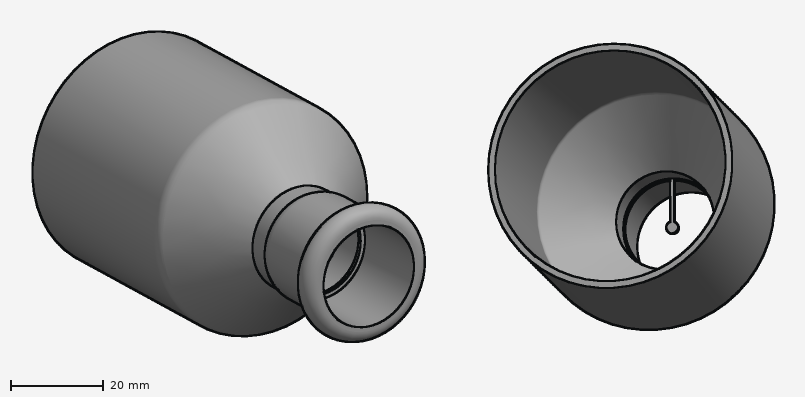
import cadquery as cq
import math

length = 94.9
large_diameter = 54.0
large_bore = 51.0
neck_diameter = 24.0
neck_bore = 21.6
socket_diameter = 25.3
socket_bore = 23.2
barrel_wall = (large_diameter - large_bore) / 2

barrel_end = 50.2
neck_end = 71.4
shoulder_end = 73.8
socket_end = 86.9

corner_radius = 2.8
cone_angle = math.radians(45)

bead_diameter = 31.5
bead_radius = 3.0

ring_bore = 21.0
disc_diameter = 2.7
stem_width = 0.9
insert_thickness = 0.95


def corner_point(barrel_radius, radius, angle):
    """Point on the barrel corner round, at an angle past the end of the barrel."""
    return (
        barrel_end + radius * math.sin(angle),
        barrel_radius - radius * (1 - math.cos(angle)),
    )


def cone_end(corner_end, radius):
    """Point where the cone meets the given neck radius."""
    return (corner_end[0] + (corner_end[1] - radius) / math.tan(cone_angle), radius)


def shoulder_middle():
    """Middle point of the shoulder arc, which runs tangent into the socket."""
    run = shoulder_end - neck_end
    rise = (socket_diameter - neck_diameter) / 2
    radius = (run**2 + rise**2) / (2 * rise)
    half_angle = math.asin(run / radius) / 2
    return (
        shoulder_end - radius * math.sin(half_angle),
        socket_diameter / 2 - radius * (1 - math.cos(half_angle)),
    )


def make_fitting():
    """Thin-walled reducer: barrel, cone, neck, socket and bead in one profile."""
    outer_corner = corner_point(large_diameter / 2, corner_radius, cone_angle)
    outer_corner_middle = corner_point(large_diameter / 2, corner_radius, cone_angle / 2)
    inner_radius = corner_radius - barrel_wall
    inner_corner = corner_point(large_bore / 2, inner_radius, cone_angle)
    inner_corner_middle = corner_point(large_bore / 2, inner_radius, cone_angle / 2)

    bead_x = length - bead_radius
    bead_y = bead_diameter / 2 - bead_radius
    bead_offset = bead_radius * math.sin(cone_angle)

    profile = (
        cq.Workplane("XY")
        .moveTo(0, large_bore / 2)
        .lineTo(0, large_diameter / 2)
        .lineTo(barrel_end, large_diameter / 2)
        .threePointArc(outer_corner_middle, outer_corner)
        .lineTo(*cone_end(outer_corner, neck_diameter / 2))
        .lineTo(neck_end, neck_diameter / 2)
        .threePointArc(shoulder_middle(), (shoulder_end, socket_diameter / 2))
        .lineTo(socket_end, socket_diameter / 2)
        .lineTo(bead_x - bead_offset, bead_y + bead_offset)
        .threePointArc((bead_x, bead_diameter / 2), (length, bead_y))
        .lineTo(length, socket_bore / 2)
        .lineTo(shoulder_end, socket_bore / 2)
        .lineTo(shoulder_end, neck_bore / 2)
        .lineTo(*cone_end(inner_corner, neck_bore / 2))
        .lineTo(*inner_corner)
        .threePointArc(inner_corner_middle, (barrel_end, large_bore / 2))
        .close()
    )
    return profile.revolve(360, (0, 0, 0), (1, 0, 0))


def make_insert():
    """Flat insert resting on the socket step: ring, stem and central disc in one piece."""
    seat = cq.Workplane("YZ", origin=(shoulder_end, 0, 0))
    ring = seat.circle(socket_bore / 2).circle(ring_bore / 2).extrude(insert_thickness)
    disc = seat.circle(disc_diameter / 2).extrude(insert_thickness)
    stem_length = (socket_bore / 2 + ring_bore / 2) / 2
    stem = seat.rect(stem_width, stem_length, centered=(True, False)).extrude(insert_thickness)
    return ring.union(stem).union(disc)


fitting = make_fitting()
insert = make_insert()

result = cq.Compound.makeCompound([fitting.val(), insert.val()])